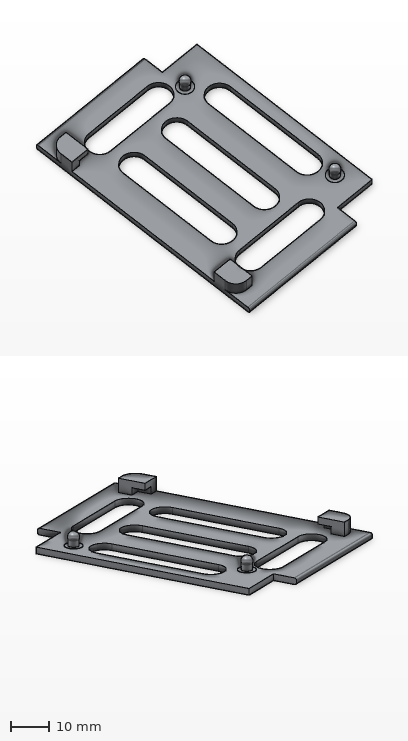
import cadquery as cq

width = 78
depth = 53.0
thickness = 1.9
shoulder_depth = 40.0
tongue_width = 64.0
edge_radius = 0.7

slot_width = 8.0
cross_slot_length = 40.0
cross_slot_count = 3
cross_slot_pitch = 16.0
first_cross_slot_y = 13.0
side_slot_length = 30.0
side_slot_x = 27.5
side_slot_y = 23.0

block_length = 8.0
block_depth = 6.0
block_height = 4.0
block_radius = 4.0
block_outer_x = 34.0

undercut_length = 4.0
undercut_depth = 3.2
undercut_height = 2.0

total_height = 5.9
pad_diameter = 5.0
pad_height = 0.1
dome_diameter = 3.2
stem_diameter = 3.0
pin_places = [(-24.4, 40.7), (24.0, 47.2)]

front_y = -depth / 2
dome_center_z = total_height - dome_diameter / 2


def make_plate():
    """Body with rounded left and right edges, plus the square-edged tongue behind it."""
    body = (
        cq.Workplane("XY")
        .box(width, shoulder_depth, thickness, centered=(True, False, False))
        .edges("|Y")
        .fillet(edge_radius)
        .translate((0, front_y, 0))
    )
    tongue_start_y = front_y + shoulder_depth / 2
    tongue_depth = depth - shoulder_depth / 2
    tongue = (
        cq.Workplane("XY")
        .box(tongue_width, tongue_depth, thickness, centered=(True, False, False))
        .translate((0, tongue_start_y, 0))
    )
    return body.union(tongue)


def make_slots():
    """Three slots along the width and one along the depth near each side edge."""
    cross_places = [(0, front_y + first_cross_slot_y + i * cross_slot_pitch) for i in range(cross_slot_count)]
    side_places = [(side * side_slot_x, front_y + side_slot_y) for side in (-1, 1)]
    cross = cq.Workplane("XY").pushPoints(cross_places).slot2D(cross_slot_length, slot_width)
    sides = cq.Workplane("XY").pushPoints(side_places).slot2D(side_slot_length, slot_width, 90)
    return cross.extrude(thickness).union(sides.extrude(thickness))


def make_right_block():
    """Stop block with its outer front corner rounded and its inner back corner undercut."""
    inner_x = block_outer_x - block_length
    block = (
        cq.Workplane("XY")
        .box(block_length, block_depth, thickness + block_height, centered=False)
        .edges("|Z and >X and <Y")
        .fillet(block_radius)
        .translate((inner_x, front_y, 0))
    )
    undercut = (
        cq.Workplane("XY")
        .box(undercut_length, undercut_depth, undercut_height, centered=False)
        .translate((inner_x, front_y + block_depth - undercut_depth, thickness))
    )
    return block.cut(undercut)


def make_pin(x, y_from_front):
    """Pin with a slightly oversize spherical head, standing on its pad."""
    pad = cq.Workplane("XY").circle(pad_diameter / 2).extrude(thickness + pad_height)
    stem = cq.Workplane("XY").circle(stem_diameter / 2).extrude(dome_center_z)
    dome = cq.Workplane("XY").sphere(dome_diameter / 2).translate((0, 0, dome_center_z))
    return pad.union(stem).union(dome).translate((x, front_y + y_from_front, 0))


right_block = make_right_block()
result = make_plate().cut(make_slots()).union(right_block).union(right_block.mirror("YZ"))
for place in pin_places:
    result = result.union(make_pin(*place))